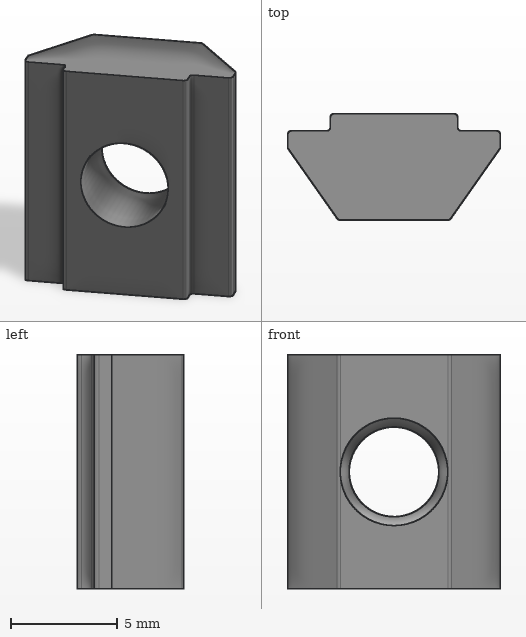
import cadquery as cq

width = 10.0
depth = 5.0
height = 11.0

tongue_width = 6.0
tongue_height = 0.8
shoulder_side = 0.81
front_width = 5.24
outer_radius = 0.2
inner_radius = 0.15
front_radius = 0.2

hole_diameter = 4.2
countersink_diameter = 5.05
countersink_angle = 90.0

front_y = -depth / 2
back_y = depth / 2
shoulder_y = back_y - tongue_height
taper_y = shoulder_y - shoulder_side


def upright_edges_at(x, y):
    """Select the two mirrored vertical edges at +x and -x."""
    tolerance = 0.01
    boxes = [
        cq.selectors.BoxSelector(
            (side * x - tolerance, y - tolerance, -height),
            (side * x + tolerance, y + tolerance, height),
        )
        for side in (-1, 1)
    ]
    return boxes[0] + boxes[1]


body = (
    cq.Workplane("XY")
    .workplane(offset=-height / 2)
    .moveTo(0, front_y)
    .lineTo(front_width / 2, front_y)
    .lineTo(width / 2, taper_y)
    .lineTo(width / 2, shoulder_y)
    .lineTo(tongue_width / 2, shoulder_y)
    .lineTo(tongue_width / 2, back_y)
    .lineTo(0, back_y)
    .mirrorY()
    .extrude(height)
)

for x, y, radius in (
    (tongue_width / 2, back_y, outer_radius),
    (width / 2, shoulder_y, outer_radius),
    (tongue_width / 2, shoulder_y, inner_radius),
    (front_width / 2, front_y, front_radius),
):
    body = body.edges("|Z").edges(upright_edges_at(x, y)).fillet(radius)

result = (
    body.faces("<Y")
    .workplane(origin=(0, front_y, 0))
    .cskHole(hole_diameter, countersink_diameter, countersink_angle)
)